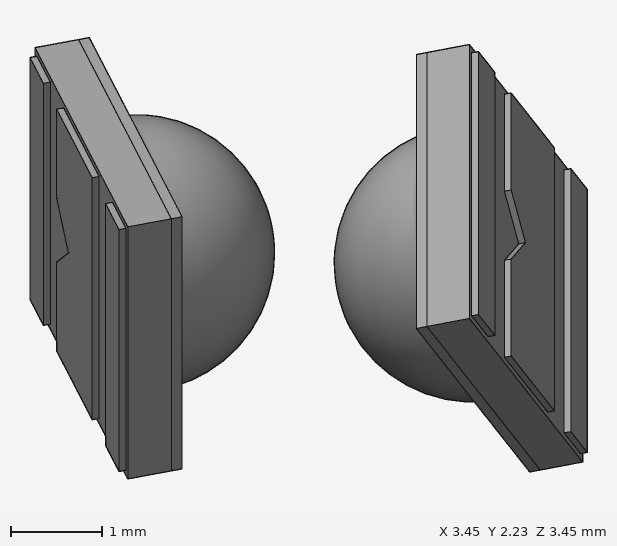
import cadquery as cq
import math

package_side = 3.45

pad_thickness = 0.08
board_thickness = 0.5
flange_thickness = 0.125

dome_radius = 1.525
foot_radius = 0.15

pad_margin = 0.07
side_pad_width = 0.5
center_pad_width = 1.318
notch_depth = 0.435

board_bottom = pad_thickness
board_top = board_bottom + board_thickness
flange_top = board_top + flange_thickness
pad_length = package_side - 2 * pad_margin
side_pad_offset = (pad_length - side_pad_width) / 2


def square_plate(bottom, thickness):
    """Square plate over the full package outline, from bottom towards +Y."""
    plate = cq.Workplane("XY").box(package_side, thickness, package_side)
    return plate.translate((0, bottom + thickness / 2, 0))


def side_pad(center_x):
    """Rectangular contact pad running along Z."""
    pad = cq.Workplane("XY").box(side_pad_width, pad_thickness, pad_length)
    return pad.translate((center_x, pad_thickness / 2, 0))


def center_pad():
    """Wide pad with a 90 degree polarity notch in its -X edge."""
    half_width = center_pad_width / 2
    half_length = pad_length / 2
    outline = [
        (-half_width, -half_length),
        (half_width, -half_length),
        (half_width, half_length),
        (-half_width, half_length),
        (-half_width, notch_depth),
        (-half_width + notch_depth, 0),
        (-half_width, -notch_depth),
    ]
    return cq.Workplane("XZ").polyline(outline).close().extrude(-pad_thickness)


def make_substrate():
    """Board with its three contact pads."""
    substrate = square_plate(board_bottom, board_thickness).union(center_pad())
    for side in (-1, 1):
        substrate = substrate.union(side_pad(side * side_pad_offset))
    return substrate


def make_dome():
    """Hemisphere whose foot arc is tangent to both the sphere and the flange."""
    center_distance = dome_radius + foot_radius
    foot_reach = math.sqrt(center_distance**2 - foot_radius**2)
    elevation = math.asin(foot_radius / center_distance)

    tangent_point = (
        dome_radius * math.cos(elevation),
        flange_top + dome_radius * math.sin(elevation),
    )
    foot_middle_angle = (math.pi / 2 - elevation) / 2
    foot_middle = (
        foot_reach - foot_radius * math.sin(foot_middle_angle),
        flange_top + foot_radius - foot_radius * math.cos(foot_middle_angle),
    )
    dome_middle_angle = (math.pi / 2 + elevation) / 2
    dome_middle = (
        dome_radius * math.cos(dome_middle_angle),
        flange_top + dome_radius * math.sin(dome_middle_angle),
    )
    profile = (
        cq.Workplane("XY")
        .moveTo(0, flange_top)
        .lineTo(foot_reach, flange_top)
        .threePointArc(foot_middle, tangent_point)
        .threePointArc(dome_middle, (0, flange_top + dome_radius))
        .close()
    )
    return profile.revolve(360, (0, 0, 0), (0, 1, 0))


def make_lens():
    """Lens dome with its square flange."""
    return square_plate(board_top, flange_thickness).union(make_dome())


substrate = make_substrate()
lens = make_lens()

result = cq.Compound.makeCompound([substrate.solids().val(), lens.solids().val()])